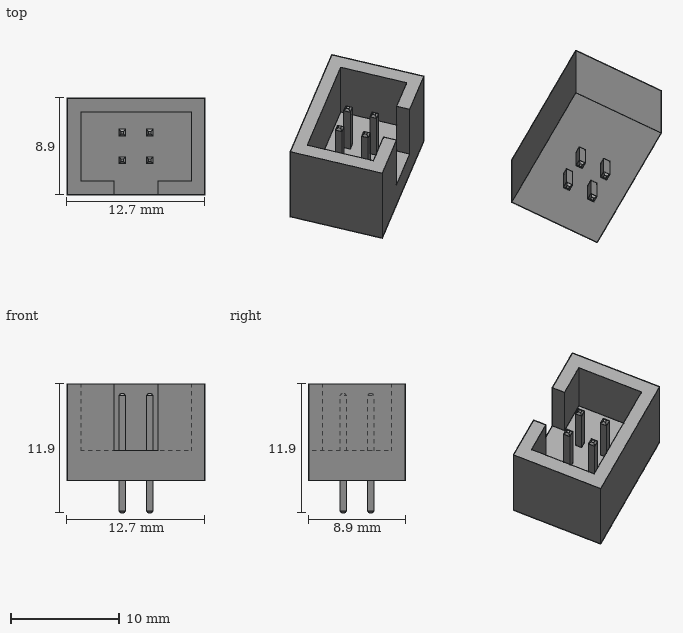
import cadquery as cq

length = 12.7
depth = 8.9
height = 8.9
wall = 1.26
floor_thickness = 2.78
key_slot_width = 4.03

pitch = 2.54
pin_size = 0.64
pin_below = 3.0
pin_top_gap = 0.88
tip_height = 0.2
tip_size = 0.25


def make_housing():
    """Open-topped box with a keying slot through its front wall."""
    cavity_height = height - floor_thickness
    box = cq.Workplane("XY").box(length, depth, height, centered=(True, True, False))
    cavity = (
        cq.Workplane("XY", origin=(0, 0, floor_thickness))
        .rect(length - 2 * wall, depth - 2 * wall)
        .extrude(cavity_height)
    )
    slot = (
        cq.Workplane("XY", origin=(0, -depth / 4, floor_thickness))
        .rect(key_slot_width, depth / 2)
        .extrude(cavity_height)
    )
    return box.cut(cavity).cut(slot)


def make_tip(base_z, direction):
    """Blunt pyramid narrowing away from base_z, up (1) or down (-1)."""
    return (
        cq.Workplane("XY", origin=(0, 0, base_z))
        .rect(pin_size, pin_size)
        .workplane(offset=direction * tip_height)
        .rect(tip_size, tip_size)
        .loft(ruled=True)
    )


def make_pin():
    """Square pin on the Z axis with a blunt tip at each end."""
    shank_bottom = tip_height - pin_below
    shank_top = height - pin_top_gap - tip_height
    shank = (
        cq.Workplane("XY", origin=(0, 0, shank_bottom))
        .rect(pin_size, pin_size)
        .extrude(shank_top - shank_bottom)
    )
    return shank.union(make_tip(shank_top, 1)).union(make_tip(shank_bottom, -1))


result = make_housing()
pin = make_pin()
for x in (-pitch / 2, pitch / 2):
    for y in (-pitch / 2, pitch / 2):
        result = result.union(pin.translate((x, y, 0)))